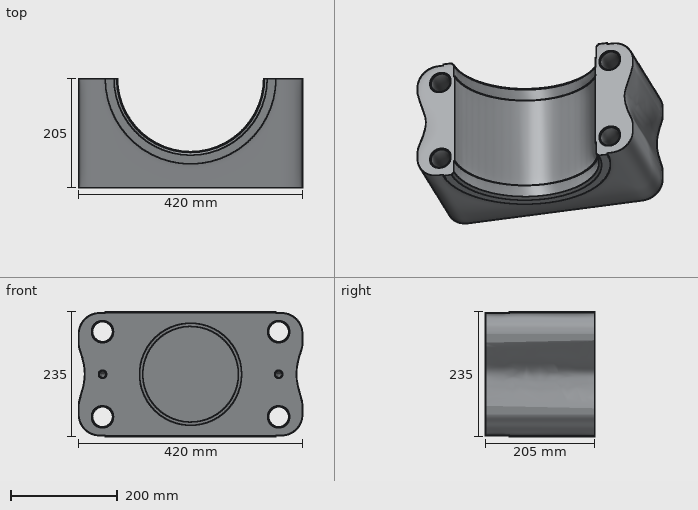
import cadquery as cq
import math

length = 420.0
depth = 205.0
height = 235.0
collar_height = 2.5
body_height = height - 2 * collar_height
corner_radius = 40.0

bore_radius = 137.0
land_radius = 138.5
land_length = 28.0
mouth_radius = 143.5
mouth_depth = mouth_radius - land_radius
collar_radius = 160.0

waist_depth_front = 11.5
waist_depth_back = 16.5
waist_half_width_front = 59.2
waist_half_width_back = 64.0
waist_blend_radius = 46.0
waist_spline_parameters = [0, 0.3, 1, 1.7, 2]

bolt_x = 165.0
bolt_z = 80.0
bolt_diameter = 38.0
bolt_chamfer = 1.5
dowel_diameter = 13.0
dowel_mouth_diameter = 15.0
dowel_depth = 25.0
drill_point_angle = 118.0
groove_outer_diameter = 191.5
groove_inner_diameter = 179.5
groove_depth = 1.3


def make_body():
    block = cq.Workplane("XY").box(length, depth, body_height).translate((0, -depth / 2, 0))
    block = block.edges("|Y").fillet(corner_radius)
    collar = cq.Workplane("XY").circle(collar_radius).extrude(height / 2, both=True)
    front_half = cq.Workplane("XY").box(length, depth, height).translate((0, -depth / 2, 0))
    return block.union(collar.intersect(front_half))


def make_bore():
    """Revolved bore: narrow middle, wider end lands and chamfered mouths."""
    top = height / 2
    chamfer_start = top - mouth_depth
    land_start = top - land_length
    return (
        cq.Workplane("XZ")
        .polyline([
            (0, -top),
            (mouth_radius, -top),
            (land_radius, -chamfer_start),
            (land_radius, -land_start),
            (bore_radius, -land_start),
            (bore_radius, land_start),
            (land_radius, land_start),
            (land_radius, chamfer_start),
            (mouth_radius, top),
            (0, top),
        ])
        .close()
        .revolve(360, (0, 0, 0), (0, 1, 0))
    )


def waist_wire(y, sag, half_width):
    """Smooth curve through a concave arc and a convex blend into the flat end on each side."""
    end_x = length / 2
    angle = 2 * math.atan(sag / half_width)
    radius = half_width / math.sin(angle) - waist_blend_radius
    join_x = end_x - waist_blend_radius * (1 - math.cos(angle))
    join_z = radius * math.sin(angle)
    return (
        cq.Workplane("XZ", origin=(0, y, 0))
        .spline(
            [
                (end_x, -half_width),
                (join_x, -join_z),
                (end_x - sag, 0),
                (join_x, join_z),
                (end_x, half_width),
            ],
            tangents=[(0, 1), (0, 1)],
            parameters=waist_spline_parameters,
        )
        .close()
        .val()
    )


def make_waist():
    front = waist_wire(-depth, waist_depth_front, waist_half_width_front)
    back = waist_wire(0, waist_depth_back, waist_half_width_back)
    return cq.Workplane(cq.Solid.makeLoft([front, back], True))


def make_bolt_hole():
    """Through hole with a small chamfer at both faces, along +Y from the front face."""
    radius = bolt_diameter / 2
    mouth = radius + bolt_chamfer
    return (
        cq.Workplane("XY")
        .polyline([
            (0, -depth),
            (mouth, -depth),
            (radius, bolt_chamfer - depth),
            (radius, -bolt_chamfer),
            (mouth, 0),
            (0, 0),
        ])
        .close()
        .revolve(360, (0, 0, 0), (0, 1, 0))
    )


def make_dowel_hole():
    """Blind hole with a chamfered mouth and a conical drill point."""
    radius = dowel_diameter / 2
    mouth = dowel_mouth_diameter / 2
    full_depth_y = dowel_depth - depth
    point_length = radius / math.tan(math.radians(drill_point_angle / 2))
    return (
        cq.Workplane("XY")
        .polyline([
            (0, -depth),
            (mouth, -depth),
            (radius, mouth - radius - depth),
            (radius, full_depth_y),
            (0, full_depth_y + point_length),
        ])
        .close()
        .revolve(360, (0, 0, 0), (0, 1, 0))
    )


def make_groove():
    return (
        cq.Workplane("XZ", origin=(0, -depth, 0))
        .circle(groove_outer_diameter / 2)
        .circle(groove_inner_diameter / 2)
        .extrude(-groove_depth)
    )


waist = make_waist()
bolt_hole = make_bolt_hole()
dowel_hole = make_dowel_hole()

result = make_body().cut(make_bore()).cut(waist).cut(waist.mirror("YZ")).cut(make_groove())
for side in (-1, 1):
    result = result.cut(dowel_hole.translate((side * bolt_x, 0, 0)))
    for level in (-1, 1):
        result = result.cut(bolt_hole.translate((side * bolt_x, 0, level * bolt_z)))